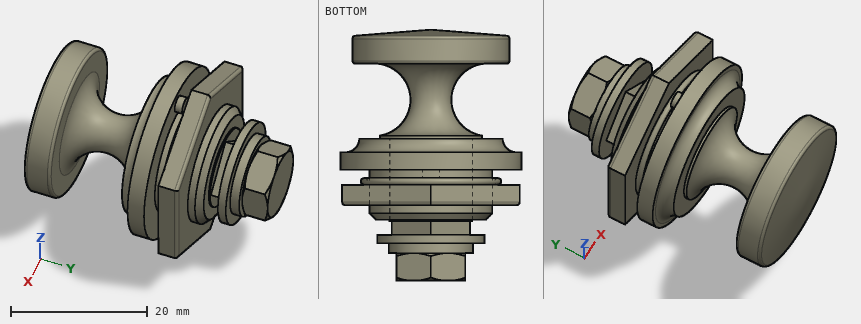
import cadquery as cq
import math


knob_radius = 11.5
knob_edge_fillet = 0.45
knob_face_radius = knob_radius - knob_edge_fillet
knob_cone_height = 0.88
knob_rear_y = 5.0
neck_radius = 3.0
neck_start_radius = 7.9
neck_waist_y = 10.1
shoulder_radius = 7.5
shoulder_height = 0.45

cove_start_y = 15.93
cove_radius = 2.0
cove_small_radius = 10.5
cove_large_radius = cove_small_radius + cove_radius
flange_front_y = cove_start_y + cove_radius
flange_thickness = 2.6
flange_rear_y = flange_front_y + flange_thickness
flange_radius = 13.25
barrel_radius = 9.0
barrel_chamfer = 1.0
barrel_end_y = 27.82
stop_pin_radius = 1.25
stop_pin_offset = 11.0
stop_pin_length = 1.17

spindle_radius = 6.05
spindle_overhang = 0.22
square_diagonal = 11.45
square_start_y = barrel_end_y + spindle_overhang

nut_across_flats = 26.0
nut_thickness = 3.0
nut_front_y = 22.68
nut_edge_fillet = 0.5

ring_section_diameter = 1.0
ring_section_radius = ring_section_diameter / 2
ring_outer_radius = 10.28
ring_center_radius = ring_outer_radius - ring_section_radius
ring_center_y = nut_front_y - ring_section_radius

overall_length = 36.7
head_height = 4.05
head_across_flats = 10.1
head_chamfer_angle = 30.0
spring_washer_radius = 6.15
spring_washer_thickness = 1.43
flat_washer_radius = 7.85
flat_washer_thickness = 1.25
head_base_y = overall_length - head_height
flat_washer_rear_y = head_base_y - spring_washer_thickness
flat_washer_front_y = flat_washer_rear_y - flat_washer_thickness


def plane_at(y):
    """Work plane at height y whose normal is +Y and whose local Y is +Z."""
    return cq.Workplane(cq.Plane(origin=(0, y, 0), xDir=(-1, 0, 0), normal=(0, 1, 0)))


def disc(radius, y_start, y_end):
    return plane_at(y_start).circle(radius).extrude(y_end - y_start)


def revolve_profile(profile):
    """Turn a closed (radius, y) profile about the Y axis."""
    return profile.close().revolve(360, (0, 0, 0), (0, 1, 0))


def hexagon(across_flats, y_start, height):
    """Hexagonal prism with two corners on the Z axis."""
    corner_diameter = across_flats / math.cos(math.radians(30))
    prism = plane_at(y_start).polygon(6, corner_diameter).extrude(height)
    return prism.rotate((0, 0, 0), (0, 1, 0), 90)


def make_knob():
    head = revolve_profile(
        cq.Workplane("XY")
        .moveTo(0, 0)
        .lineTo(knob_face_radius, knob_cone_height)
        .radiusArc((knob_radius, knob_cone_height + knob_edge_fillet), -knob_edge_fillet)
        .lineTo(knob_radius, knob_rear_y - knob_edge_fillet)
        .radiusArc((knob_face_radius, knob_rear_y), -knob_edge_fillet)
        .lineTo(0, knob_rear_y)
    )
    neck = revolve_profile(
        cq.Workplane("XY")
        .moveTo(0, knob_rear_y)
        .lineTo(neck_start_radius, knob_rear_y)
        .threePointArc(
            (neck_radius, neck_waist_y),
            (shoulder_radius, cove_start_y - shoulder_height),
        )
        .lineTo(shoulder_radius, cove_start_y)
        .lineTo(0, cove_start_y)
    )
    spindle = disc(spindle_radius, cove_start_y, square_start_y)
    square = (
        plane_at(square_start_y)
        .polygon(4, square_diagonal)
        .extrude(flat_washer_front_y - square_start_y)
    )
    return head.union(neck).union(spindle).union(square)


def make_housing():
    body = revolve_profile(
        cq.Workplane("XY")
        .moveTo(spindle_radius, cove_start_y)
        .lineTo(cove_small_radius, cove_start_y)
        .radiusArc((cove_large_radius, flange_front_y), cove_radius)
        .lineTo(flange_radius, flange_front_y)
        .lineTo(flange_radius, flange_rear_y)
        .lineTo(barrel_radius, flange_rear_y)
        .lineTo(barrel_radius, barrel_end_y - barrel_chamfer)
        .lineTo(barrel_radius - barrel_chamfer, barrel_end_y)
        .lineTo(spindle_radius, barrel_end_y)
    )
    stop_pin = disc(stop_pin_radius, flange_rear_y, flange_rear_y + stop_pin_length)
    return body.union(stop_pin.translate((0, 0, stop_pin_offset)))


def make_nut():
    blank = hexagon(nut_across_flats, nut_front_y, nut_thickness)
    blank = blank.faces(">Y").edges().fillet(nut_edge_fillet)
    return blank.cut(disc(barrel_radius, nut_front_y, nut_front_y + nut_thickness))


def make_sealing_ring():
    return (
        cq.Workplane("XY")
        .center(ring_center_radius, ring_center_y)
        .circle(ring_section_radius)
        .revolve(360, (-ring_center_radius, 0, 0), (-ring_center_radius, 1, 0))
    )


def make_bolt():
    face_radius = head_across_flats / 2
    corner_radius = face_radius / math.cos(math.radians(30))
    chamfer_depth = (corner_radius - face_radius) * math.tan(math.radians(head_chamfer_angle))
    chamfer_envelope = revolve_profile(
        cq.Workplane("XY")
        .moveTo(0, head_base_y)
        .lineTo(face_radius, head_base_y)
        .lineTo(corner_radius, head_base_y + chamfer_depth)
        .lineTo(corner_radius, overall_length - chamfer_depth)
        .lineTo(face_radius, overall_length)
        .lineTo(0, overall_length)
    )
    head = hexagon(head_across_flats, head_base_y, head_height).intersect(chamfer_envelope)
    spring_washer = disc(spring_washer_radius, flat_washer_rear_y, head_base_y)
    flat_washer = disc(flat_washer_radius, flat_washer_front_y, flat_washer_rear_y)
    return flat_washer.union(spring_washer).union(head)


knob = make_knob()
housing = make_housing()
nut = make_nut()
sealing_ring = make_sealing_ring()
bolt = make_bolt()

result = cq.Compound.makeCompound(
    [knob.val(), housing.val(), nut.val(), sealing_ring.val(), bolt.val()]
)